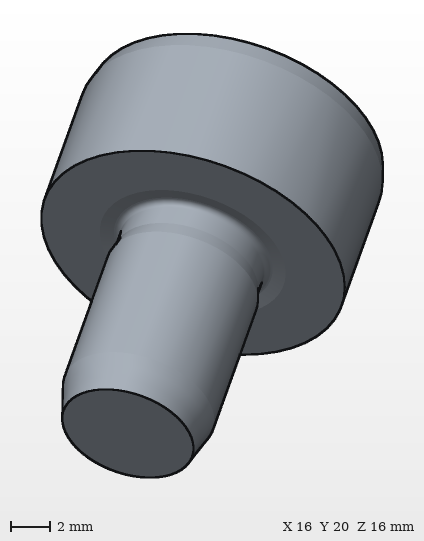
import cadquery as cq
import math

head_diameter = 16.0
head_length = 8.0
pin_diameter = 8.0
pin_length = 12.0

taper_angle = math.radians(15)
head_taper_length = 1.0
tip_length = 2.0

neck_diameter = 7.6
undercut_length = 2.0
recess_depth = 0.1
recess_rim_diameter = 9.8
recess_slope_angle = math.radians(8)
neck_fillet_radius = 0.3

head_radius = head_diameter / 2
pin_radius = pin_diameter / 2
neck_radius = neck_diameter / 2
head_end_radius = head_radius - head_taper_length * math.tan(taper_angle)
tip_radius = pin_radius - tip_length * math.tan(taper_angle)
recess_rim_radius = recess_rim_diameter / 2
recess_floor_radius = recess_rim_radius - recess_depth / math.tan(recess_slope_angle)

tip_y = -pin_length
tip_start_y = tip_y + tip_length
undercut_start_y = -undercut_length
neck_start_y = undercut_start_y + (pin_radius - neck_radius) / math.tan(taper_angle)

fillet_end_radius = neck_radius + neck_fillet_radius
fillet_start_y = recess_depth - neck_fillet_radius
fillet_middle = (
    fillet_end_radius - neck_fillet_radius * math.cos(math.pi / 4),
    fillet_start_y + neck_fillet_radius * math.sin(math.pi / 4),
)


def half_profile():
    """Half section of the pin, as (radius, Y) points from the tip to the head end."""
    return (
        cq.Workplane("XY")
        .moveTo(0, tip_y)
        .lineTo(tip_radius, tip_y)
        .lineTo(pin_radius, tip_start_y)
        .lineTo(pin_radius, undercut_start_y)
        .lineTo(neck_radius, neck_start_y)
        .lineTo(neck_radius, fillet_start_y)
        .threePointArc(fillet_middle, (fillet_end_radius, recess_depth))
        .lineTo(recess_floor_radius, recess_depth)
        .lineTo(recess_rim_radius, 0)
        .lineTo(head_radius, 0)
        .lineTo(head_radius, head_length - head_taper_length)
        .lineTo(head_end_radius, head_length)
        .lineTo(0, head_length)
        .close()
    )


result = half_profile().revolve(360, (0, 0, 0), (0, 1, 0))